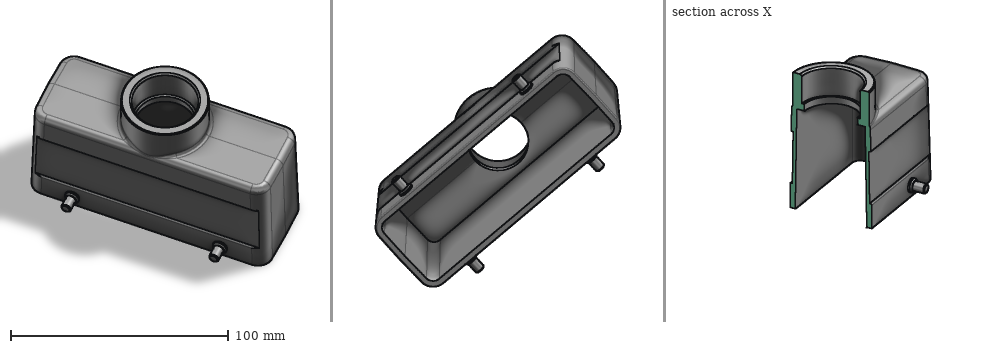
import cadquery as cq
import math

BASE_LENGTH = 120.61
BASE_WIDTH = 43.5
BODY_HEIGHT = 55.2
END_DRAFT = 1.5
SIDE_DRAFT = 0.9
END_YAW = 1.0
ROOF_SLOPE = 1.0
CORNER_RADIUS = 7.2
TOP_FILLET = 3.5
BASE_EDGE_FILLET = 0.6

WALL = 3.0
CAVITY_HEIGHT = BODY_HEIGHT - WALL

RECESS_BOTTOM = 13.0
RECESS_TOP = 39.6
RECESS_RIM_RADIUS = 0.6
RECESS_DEPTH = 1.0

TOTAL_HEIGHT = 70.65
NECK_DIAMETER = 40.6
NECK_EDGE_CHAMFER = 0.5
NECK_ROOT_FILLET = 1.8
BORE_DIAMETER = 30.6
BORE_DEPTH = 15.0
BORE_CHAMFER = 0.9
ENTRY_DIAMETER = 28.0

PIN_SPAN = 59.14
PIN_DIAMETER = 4.8
PIN_TIP_CHAMFER = 0.5
PIN_SPACING = 74.0
PIN_HEIGHT = 6.0
COLLAR_DIAMETER = 7.0
COLLAR_TIP_DIAMETER = 5.6
COLLAR_HEIGHT = 1.7
COLLAR_CONE_HEIGHT = 0.9


def half_width(z):
    return BASE_WIDTH / 2 - z * math.tan(math.radians(SIDE_DRAFT))


def tapered_half_block(ridge_height, inset):
    """+Y half of a drafted block, `inset` inside the outer walls, with rounded corners and a sloped roof."""
    side_y = half_width(0) - inset
    eave_y = half_width(ridge_height) - inset
    eave_z = ridge_height - eave_y * math.tan(math.radians(ROOF_SLOPE))
    plan_y = BASE_WIDTH
    ridge_x = BASE_LENGTH / 2 - inset
    plan_x = ridge_x - plan_y * math.tan(math.radians(END_YAW))
    plan = (
        cq.Workplane("XY")
        .polyline([
            (ridge_x, 0),
            (plan_x, plan_y),
            (-plan_x, plan_y),
            (-ridge_x, 0),
            (-plan_x, -plan_y),
            (plan_x, -plan_y),
        ])
        .close()
        .extrude(ridge_height, taper=END_DRAFT)
    )
    cross_section = (
        cq.Workplane("YZ")
        .polyline([(0, 0), (side_y, 0), (eave_y, eave_z), (0, ridge_height)])
        .close()
        .extrude(BASE_LENGTH / 2, both=True)
    )
    return (
        plan.intersect(cross_section)
        .edges()
        .filter(is_corner_edge)
        .fillet(CORNER_RADIUS - inset)
    )


def is_corner_edge(edge):
    """Upright edge at a corner, not one on the middle plane."""
    middle = edge.Center()
    is_upright = BODY_HEIGHT / 4 < middle.z < 3 * BODY_HEIGHT / 4
    return is_upright and abs(middle.y) > BASE_WIDTH / 4


def is_roof_rim(edge):
    """Edge around the roof, not the ridge on the middle plane."""
    middle = edge.Center()
    return middle.z > BODY_HEIGHT - TOP_FILLET and abs(middle.y) > BASE_WIDTH / 8


def is_base_rim(edge):
    """Edge around the base, not the one on the middle plane."""
    middle = edge.Center()
    return middle.z < BASE_EDGE_FILLET / 2 and abs(middle.y) > BASE_WIDTH / 8


def half_hood_body():
    body = tapered_half_block(BODY_HEIGHT, 0)
    body = body.edges().filter(is_roof_rim).fillet(TOP_FILLET)
    return body.edges().filter(is_base_rim).fillet(BASE_EDGE_FILLET)


def mirrored(half):
    """Whole shape from its +Y half."""
    return half.union(half.mirror("XZ"))


def with_neck(body):
    """Body with the cable entry neck, filleted where they meet."""
    neck_radius = NECK_DIAMETER / 2
    neck_start = BODY_HEIGHT - TOP_FILLET
    neck = (
        cq.Workplane("XY", origin=(0, 0, neck_start))
        .circle(neck_radius)
        .extrude(TOTAL_HEIGHT - neck_start)
        .faces(">Z")
        .chamfer(NECK_EDGE_CHAMFER)
    )
    reach = neck_radius + NECK_EDGE_CHAMFER
    joint_zone = cq.selectors.BoxSelector(
        (-reach, -reach, neck_start),
        (reach, reach, BODY_HEIGHT + NECK_EDGE_CHAMFER),
        boundingbox=True,
    )
    return body.union(neck).edges(joint_zone).fillet(NECK_ROOT_FILLET)


def side_recess():
    """Cutter for the +Y recess; its floor follows the side draft and its ledges have rounded rims."""
    outside = BASE_WIDTH
    rim_bottom = RECESS_BOTTOM - RECESS_RIM_RADIUS
    rim_top = RECESS_TOP + RECESS_RIM_RADIUS
    rim_bottom_y = half_width(rim_bottom)
    rim_top_y = half_width(rim_top)
    rim_setback = RECESS_RIM_RADIUS * (1 - math.sqrt(0.5))
    return (
        cq.Workplane("YZ")
        .moveTo(half_width(RECESS_TOP) - RECESS_DEPTH, RECESS_TOP)
        .lineTo(half_width(RECESS_BOTTOM) - RECESS_DEPTH, RECESS_BOTTOM)
        .lineTo(rim_bottom_y - RECESS_RIM_RADIUS, RECESS_BOTTOM)
        .threePointArc(
            (rim_bottom_y - rim_setback, RECESS_BOTTOM - rim_setback),
            (rim_bottom_y, rim_bottom),
        )
        .lineTo(outside, rim_bottom)
        .lineTo(outside, rim_top)
        .lineTo(rim_top_y, rim_top)
        .threePointArc(
            (rim_top_y - rim_setback, RECESS_TOP + rim_setback),
            (rim_top_y - RECESS_RIM_RADIUS, RECESS_TOP),
        )
        .close()
        .extrude(BASE_LENGTH / 2, both=True)
    )


def entry_bore():
    """Stepped bore through the neck and roof, with a chamfered mouth."""
    entry_radius = ENTRY_DIAMETER / 2
    bore_radius = BORE_DIAMETER / 2
    ledge_z = TOTAL_HEIGHT - BORE_DEPTH
    return (
        cq.Workplane("XZ")
        .polyline([
            (0, CAVITY_HEIGHT - WALL),
            (entry_radius, CAVITY_HEIGHT - WALL),
            (entry_radius, ledge_z),
            (bore_radius, ledge_z),
            (bore_radius, TOTAL_HEIGHT - BORE_CHAMFER),
            (bore_radius + BORE_CHAMFER, TOTAL_HEIGHT),
            (0, TOTAL_HEIGHT),
        ])
        .close()
        .revolve(360, (0, 0, 0), (0, 1, 0))
    )


def locking_pin(x):
    """Pin with a conical collar, rooted inside the +Y side wall and pointing outward."""
    root = BASE_WIDTH / 2 - WALL / 2
    collar_end = BASE_WIDTH / 2 + COLLAR_HEIGHT
    tip = PIN_SPAN / 2
    pin_radius = PIN_DIAMETER / 2
    profile = [
        (0, root),
        (COLLAR_DIAMETER / 2, root),
        (COLLAR_DIAMETER / 2, collar_end - COLLAR_CONE_HEIGHT),
        (COLLAR_TIP_DIAMETER / 2, collar_end),
        (pin_radius, collar_end),
        (pin_radius, tip - PIN_TIP_CHAMFER),
        (pin_radius - PIN_TIP_CHAMFER, tip),
        (0, tip),
    ]
    return (
        cq.Workplane("XY")
        .polyline(profile)
        .close()
        .revolve(360, (0, 0, 0), (0, 1, 0))
        .translate((x, 0, PIN_HEIGHT))
    )


result = with_neck(mirrored(half_hood_body().cut(side_recess())))
result = result.cut(mirrored(tapered_half_block(CAVITY_HEIGHT, WALL)))
result = result.cut(entry_bore())
for pin_x in (-PIN_SPACING / 2, PIN_SPACING / 2):
    pin = locking_pin(pin_x)
    result = result.union(pin).union(pin.mirror("XZ"))